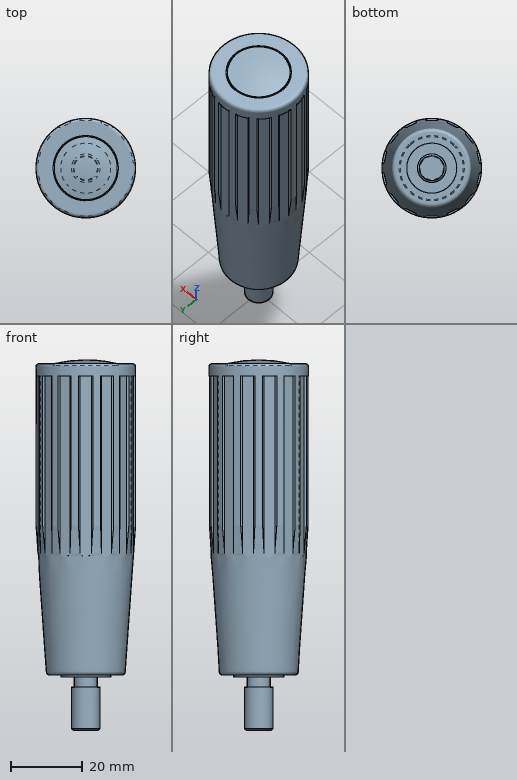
import cadquery as cq
import math

stud_radius = 8.0 / 2
stud_chamfer = 0.5
neck_radius = 6.5 / 2
neck_base_z = 12.2

collar_radius = 14.0 / 2
collar_base_z = 15.0

handle_base_z = 15.5
taper_top_z = 57.4
cap_face_z = 102.9
overall_height = 103.9
handle_base_radius = 11.0
grip_radius = 28.0 / 2
base_edge_radius = 1.0
cap_edge_radius = 0.9

button_radius = 8.8
ring_groove_width = 0.3
ring_groove_depth = 0.5

flute_count = 14
flute_depth = 0.6
flute_floor_width = 3.1
flute_mouth_width = 4.4
flute_top_z = 99.3
flute_cutter_base_z = 41.6


def cylinder(radius, bottom_z, top_z):
    return cq.Workplane("XY", origin=(0, 0, bottom_z)).circle(radius).extrude(top_z - bottom_z)


def revolve_about_z(outline):
    return outline.close().revolve(360, (0, 0), (0, 1))


def make_handle():
    outline = (
        cq.Workplane("XZ")
        .moveTo(0, handle_base_z)
        .lineTo(handle_base_radius, handle_base_z)
        .lineTo(grip_radius, taper_top_z)
        .lineTo(grip_radius, cap_face_z)
        .lineTo(0, cap_face_z)
    )
    handle = revolve_about_z(outline)
    handle = handle.faces(">Z").edges().fillet(cap_edge_radius)
    return handle.faces("<Z").edges().fillet(base_edge_radius)


def make_flute_cutter():
    half_floor = flute_floor_width / 2
    half_mouth = flute_mouth_width / 2
    floor_y = -(grip_radius - flute_depth)
    return (
        cq.Workplane("XY", origin=(0, 0, flute_cutter_base_z))
        .polyline([
            (-half_floor, floor_y),
            (half_floor, floor_y),
            (half_mouth, -grip_radius),
            (-half_mouth, -grip_radius),
        ])
        .close()
        .extrude(flute_top_z - flute_cutter_base_z)
    )


def cut_flutes(body):
    cutter = make_flute_cutter()
    for index in range(flute_count):
        angle = index * 360 / flute_count
        body = body.cut(cutter.rotate((0, 0, 0), (0, 0, 1), angle))
    return body


def make_button(base_z):
    rise = overall_height - cap_face_z
    dome_radius = (button_radius**2 + rise**2) / (2 * rise)
    mid_angle = math.asin(button_radius / dome_radius) / 2
    dome_mid_point = (
        dome_radius * math.sin(mid_angle),
        overall_height - dome_radius * (1 - math.cos(mid_angle)),
    )
    outline = (
        cq.Workplane("XZ")
        .moveTo(0, base_z)
        .lineTo(button_radius, base_z)
        .lineTo(button_radius, cap_face_z)
        .threePointArc(dome_mid_point, (0, overall_height))
    )
    return revolve_about_z(outline)


def add_button(body):
    recess_floor_z = cap_face_z - ring_groove_depth
    recess = cylinder(button_radius + ring_groove_width, recess_floor_z, cap_face_z)
    return body.cut(recess).union(make_button(recess_floor_z))


def make_stud():
    stud = cylinder(stud_radius, 0, neck_base_z).faces("<Z").chamfer(stud_chamfer)
    neck = cylinder(neck_radius, neck_base_z, collar_base_z)
    collar = cylinder(collar_radius, collar_base_z, handle_base_z)
    return stud.union(neck).union(collar)


result = add_button(cut_flutes(make_handle())).union(make_stud())